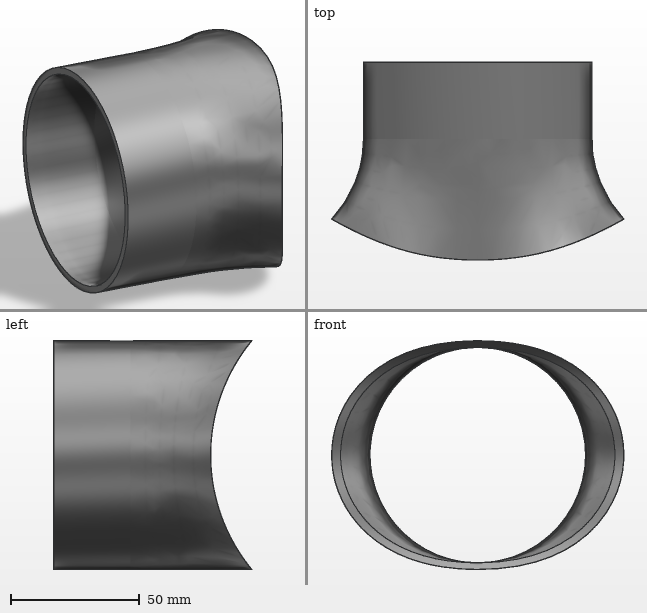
import cadquery as cq
import math


SLEEVE_OUTER_DIAMETER = 88.9
SLEEVE_INNER_DIAMETER = 83.7
RUN_PIPE_DIAMETER = 139.7
OVERALL_DEPTH = 76.97
SLEEVE_LENGTH = 30.0
RIM_WIDTH = 113.57

FLARE_SECTIONS = 36
CURVE_SPANS = 4
RIM_ALLOWANCE = 0.02
LEAST_FLARE = 0.001
JOIN_TOLERANCE = 0.001

outer_radius = SLEEVE_OUTER_DIAMETER / 2
inner_radius = SLEEVE_INNER_DIAMETER / 2
wall = outer_radius - inner_radius
run_radius = RUN_PIPE_DIAMETER / 2
largest_flare = RIM_WIDTH / 2 - outer_radius
sleeve_end_y = math.sqrt(run_radius**2 - outer_radius**2) + OVERALL_DEPTH
flare_start_y = sleeve_end_y - SLEEVE_LENGTH


def make_sleeve():
    """Straight tube from the free end to the start of the flare."""
    return (
        cq.Workplane("XZ", origin=(0, sleeve_end_y, 0))
        .circle(outer_radius)
        .circle(inner_radius)
        .extrude(SLEEVE_LENGTH)
    )


def flare_section(angle):
    """Closed wall section in the half plane at `angle` from +X about the sleeve axis.

    The wall bends outward along an arc that is tangent to the sleeve. The flare at the
    rim is largest beside the run pipe (along X) and fades to nothing at its top (along Z).
    """
    flare = max(largest_flare * math.cos(angle) ** 2, LEAST_FLARE)
    rim_z = (outer_radius + flare) * math.sin(angle)
    length = flare_start_y - math.sqrt(run_radius**2 - rim_z**2)
    bend_radius = (flare**2 + length**2) / (2 * flare)
    bend_angle = 2 * math.atan2(flare, length) * (1 + RIM_ALLOWANCE / length)

    def wall_point(radius, turn):
        r = outer_radius + bend_radius - radius * math.cos(turn)
        y = flare_start_y - radius * math.sin(turn)
        return cq.Vector(r * math.cos(angle), y, r * math.sin(angle))

    def wall_curve(radius):
        turns = [bend_angle * i / CURVE_SPANS for i in range(CURVE_SPANS + 1)]
        return cq.Edge.makeSpline([wall_point(radius, turn) for turn in turns])

    outer_curve = wall_curve(bend_radius)
    inner_curve = wall_curve(bend_radius + wall)
    rim_edge = cq.Edge.makeLine(outer_curve.endPoint(), inner_curve.endPoint())
    start_edge = cq.Edge.makeLine(inner_curve.startPoint(), outer_curve.startPoint())
    return cq.Wire.assembleEdges([outer_curve, rim_edge, inner_curve, start_edge])


def make_flare():
    """Flared skirt lofted once around the sleeve axis, then trimmed to the run pipe."""
    step = 2 * math.pi / FLARE_SECTIONS
    first_angle = -math.pi / 2
    sections = [flare_section(first_angle + i * step) for i in range(FLARE_SECTIONS)]
    closed_ring = sections + [sections[0]]
    skirt = cq.Workplane(cq.Solid.makeLoft(closed_ring))
    run_plane = cq.Plane(origin=(0, 0, 0), xDir=(0, -1, 0), normal=(1, 0, 0))
    run_pipe = cq.Workplane(run_plane).circle(run_radius).extrude(RIM_WIDTH, both=True)
    return skirt.cut(run_pipe)


result = make_sleeve().union(make_flare(), tol=JOIN_TOLERANCE)